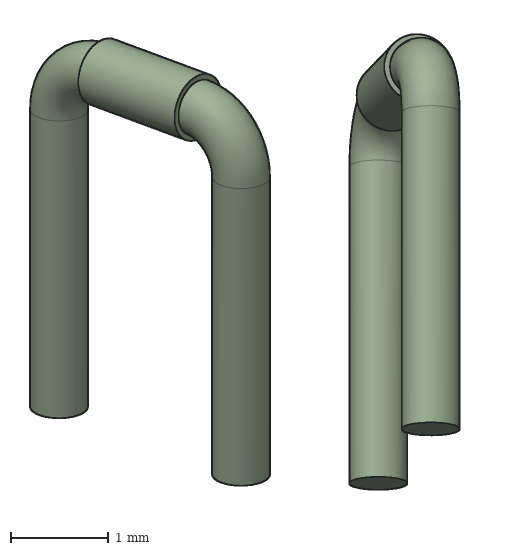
import cadquery as cq
import math

height = 4.31
wire_diameter = 0.6
sleeve_diameter = 0.72
leg_spacing = 2.545
bend_radius = 0.6

half_spacing = leg_spacing / 2
axis_height = height - sleeve_diameter / 2
leg_length = axis_height - bend_radius
sleeve_length = leg_spacing - 2 * bend_radius
bend_mid_offset = bend_radius * (1 - math.sqrt(0.5))


def make_wire():
    """Round wire bent into a U, standing on its two leg ends at Z = 0."""
    mid_x = half_spacing - bend_mid_offset
    mid_z = axis_height - bend_mid_offset
    half_straight = sleeve_length / 2
    path = (
        cq.Workplane("XZ")
        .moveTo(-half_spacing, 0)
        .lineTo(-half_spacing, leg_length)
        .threePointArc((-mid_x, mid_z), (-half_straight, axis_height))
        .lineTo(half_straight, axis_height)
        .threePointArc((mid_x, mid_z), (half_spacing, leg_length))
        .lineTo(half_spacing, 0)
    )
    return cq.Workplane("XY").center(-half_spacing, 0).circle(wire_diameter / 2).sweep(path)


def make_sleeve():
    """Tube fitted around the straight top of the wire."""
    return (
        cq.Workplane("YZ", origin=(-sleeve_length / 2, 0, axis_height))
        .circle(sleeve_diameter / 2)
        .circle(wire_diameter / 2)
        .extrude(sleeve_length)
    )


wire = make_wire()
sleeve = make_sleeve()
result = cq.Compound.makeCompound([wire.val(), sleeve.val()])